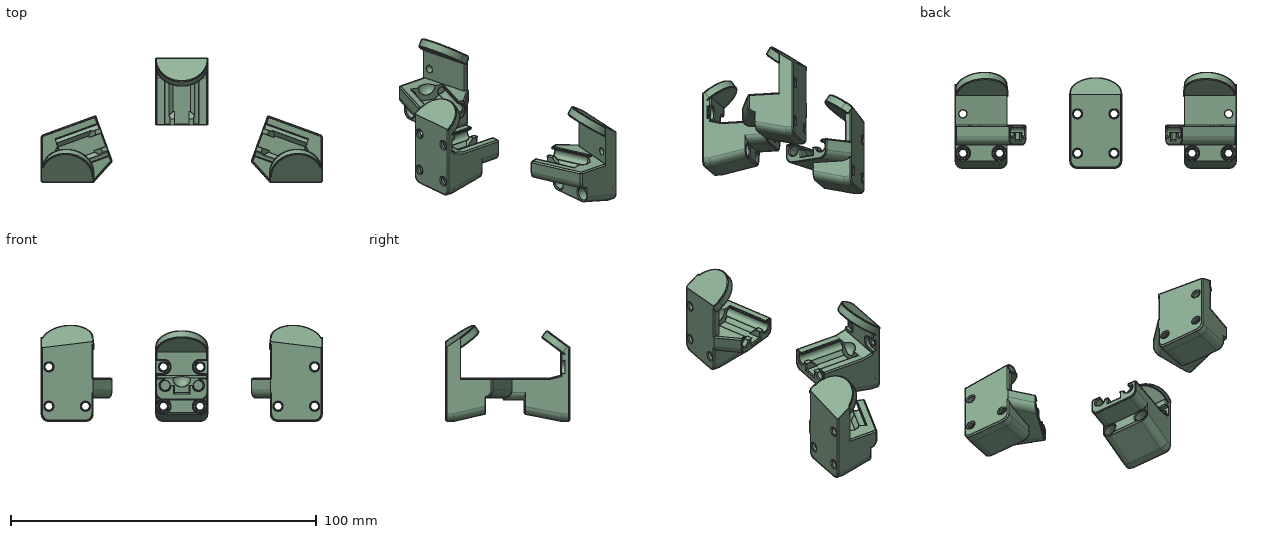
import cadquery as cq
import math

OVERALL_LENGTH = 92.0
OVERALL_DEPTH = 40.7
CLAMP_WIDTH = 17.0
HALF_WIDTH = CLAMP_WIDTH / 2
BOTTOM_RADIUS = 2.5
EDGE_CHAMFER = 0.5
ARM_END_CHAMFER = 0.3
ARM_TOP = 14.2
CLEARANCE = 0.9
MARGIN = 0.1

FOOT_FLAT = 2.8
FOOT_FRONT_HEIGHT = 2.4

SCREW_RADIUS = 1.3
SCREW_CHAMFER = 0.4
HEAD_RADIUS = 2.1
HEAD_CHAMFER = 0.4
HEAD_SEAT = 1.7
SCREW_OFFSET = 6.0
LOWER_SCREW_Z = 5.0
UPPER_SCREW_Z = 17.85

ROD_RADIUS = 1.61
ROD_OFFSET = 5.4
ROD_Z = 11.8
MOUTH_CHAMFER = 0.4
ROD_SOCKET_DEPTH = 1.8
SEAT_LENGTH = 15.1
SEAT_LIP_CHAMFER = 0.3
POCKET_FLOOR = 9.4
POCKET_FLOOR_HALF_WIDTH = 2.85
POCKET_SLOPE_OFFSET = 4.2
SNAP_HALF_GAP = 2.3
SNAP_LENGTH = 2.0
SNAP_RAMP_END = 4.4
SCOOP_RADIUS = 3.1
SCOOP_SETBACK = 1.1

LIP_THICKNESS = 2.9
LIP_CHAMFER = 0.3

BACK_ARM_REACH = 21.9
BACK_ARM_BOTTOM = 7.0
BACK_FOOT_DEPTH = 15.0
BACK_WALL = 3.0
BACK_WALL_TOP = 24.2
BACK_RAMP_DEPTH = 6.6
BACK_RAMP_TOP = 15.1
BACK_LIP_ANGLE = 36.6
BACK_LIP_STRAIGHT = 0.9

SIDE_ARM_BOTTOM = 7.7
SIDE_FOOT_DEPTH = 13.0
SIDE_OUTER_DEPTH = 15.4
SIDE_OUTER_WALL = 4.9
SIDE_INNER_WALL = 1.9
ARM_TURN = 20.0
ARM_END_X = -28.2
ARM_END_WIDTH = 15.9
ARM_AXIS_OFFSET = 8.3
CREASE_MIDDLE_Z = 25.1
SIDE_LIP_SLOPE = 0.69
SIDE_LIP_CROSS_SLOPE = 0.12
SIDE_LIP_STRAIGHT = 2.85


def box_between(x0, x1, y0, y1, z0, z1):
    return cq.Workplane("XY").box(x1 - x0, y1 - y0, z1 - z0, centered=False).translate((x0, y0, z0))


def rod_seat():
    """Cutter for two rods and the pocket between them; the arm end is at Y = 0 and the arm runs to +Y."""
    slope_top = ROD_Z - math.sqrt(ROD_RADIUS**2 - (ROD_OFFSET - POCKET_SLOPE_OFFSET) ** 2)
    opening = [
        (POCKET_FLOOR_HALF_WIDTH, POCKET_FLOOR),
        (POCKET_SLOPE_OFFSET, slope_top),
        (ROD_OFFSET, slope_top),
        (ROD_OFFSET, ARM_TOP - SEAT_LIP_CHAMFER),
        (ROD_OFFSET + SEAT_LIP_CHAMFER, ARM_TOP),
        (ROD_OFFSET + SEAT_LIP_CHAMFER, ARM_TOP + CLEARANCE),
    ]
    mirrored = [(-x, z) for x, z in reversed(opening)]
    cutter = cq.Workplane("XZ").polyline(opening + mirrored).close().extrude(-SEAT_LENGTH)

    nose_profile = [
        (0, POCKET_FLOOR), (SNAP_RAMP_END, POCKET_FLOOR), (SNAP_LENGTH, ROD_Z), (0, ROD_Z),
    ]
    nose_width = ROD_OFFSET - SNAP_HALF_GAP
    for start in (SNAP_HALF_GAP, -ROD_OFFSET):
        nose = cq.Workplane("YZ", origin=(start, 0, 0)).polyline(nose_profile).close().extrude(nose_width)
        cutter = cutter.cut(nose)

    for x in (-ROD_OFFSET, ROD_OFFSET):
        end = cq.Workplane("XZ", origin=(x, 0, ROD_Z))
        cutter = cutter.union(end.circle(ROD_RADIUS).extrude(-SEAT_LENGTH - ROD_SOCKET_DEPTH))
        cutter = cutter.union(end.circle(ROD_RADIUS + MOUTH_CHAMFER).extrude(-MOUTH_CHAMFER, taper=45))

    mouth_bottom = POCKET_FLOOR - MOUTH_CHAMFER
    mouth = (
        cq.Workplane("XZ", origin=(0, 0, (mouth_bottom + ROD_Z) / 2))
        .rect(2 * (SNAP_HALF_GAP + MOUTH_CHAMFER), ROD_Z - mouth_bottom)
        .extrude(-MOUTH_CHAMFER, taper=45)
    )
    scoop = cq.Workplane("XY").sphere(SCOOP_RADIUS).translate((0, SEAT_LENGTH - SCOOP_SETBACK, ARM_TOP))
    return cutter.union(mouth).union(scoop)


def screw_hole(x, z, length):
    """Cutter for a screw entering at Y = 0 and running to +Y, countersunk at its entry."""
    entry = cq.Workplane("XZ", origin=(x, 0, z))
    hole = entry.circle(SCREW_RADIUS).extrude(-length)
    return hole.union(entry.circle(SCREW_RADIUS + SCREW_CHAMFER).extrude(-SCREW_CHAMFER, taper=45))


def head_recess(x, z, mouth, slot_reach=0):
    """Cutter for a screw head seated at HEAD_SEAT; `slot_reach` stretches it sideways into an open slot."""
    def outline(y, radius):
        plane = cq.Workplane("XZ", origin=(x + slot_reach / 2, y, z))
        if slot_reach:
            return plane.slot2D(abs(slot_reach) + 2 * radius, 2 * radius)
        return plane.circle(radius)

    recess = outline(HEAD_SEAT, HEAD_RADIUS).extrude(HEAD_SEAT - mouth)
    countersink = cq.Workplane("XZ", origin=(x, HEAD_SEAT, z)).circle(SCREW_RADIUS + SCREW_CHAMFER)
    recess = recess.union(countersink.extrude(SCREW_CHAMFER, taper=45))
    return recess.union(outline(mouth, HEAD_RADIUS + HEAD_CHAMFER).extrude(HEAD_CHAMFER, taper=45))


def lip(plane, straight):
    """Half-round lip: X of the plane points from the crease to the tip, and its normal points outward."""
    return (
        cq.Workplane(plane)
        .moveTo(0, -HALF_WIDTH)
        .lineTo(straight, -HALF_WIDTH)
        .threePointArc((straight + HALF_WIDTH, 0), (straight, HALF_WIDTH))
        .lineTo(0, HALF_WIDTH)
        .close()
        .extrude(-LIP_THICKNESS)
        .edges("%CIRCLE")
        .chamfer(LIP_CHAMFER)
    )


def edges_within(y0, y1, z0, z1):
    """Selector for the edges whose middle lies in a range of depth and height, at any X."""
    return cq.selectors.BoxSelector(
        (-OVERALL_LENGTH, y0 - MARGIN, z0 - MARGIN), (OVERALL_LENGTH, y1 + MARGIN, z1 + MARGIN)
    )


def round_underside(body, depth, top):
    """Round the long lower edges of a body, up to the given depth and height."""
    low_edges = body.edges(edges_within(0, depth, 0, top)).edges("not |X").edges("not |Z")
    return low_edges.fillet(BOTTOM_RADIUS)


def back_clamp():
    """Clamp modelled with its back face at Y = 0 and its arm along +Y, then turned to face -Y."""
    angle = math.radians(BACK_LIP_ANGLE)
    wall_inner_top = BACK_WALL_TOP + BACK_WALL * math.tan(angle) - LIP_THICKNESS / math.cos(angle)
    profile = [
        (0, 0),
        (FOOT_FLAT, 0),
        (BACK_FOOT_DEPTH, FOOT_FRONT_HEIGHT),
        (BACK_FOOT_DEPTH, BACK_ARM_BOTTOM),
        (BACK_ARM_REACH, BACK_ARM_BOTTOM),
        (BACK_ARM_REACH, ARM_TOP),
        (BACK_RAMP_DEPTH, ARM_TOP),
        (BACK_WALL, BACK_RAMP_TOP),
        (BACK_WALL, wall_inner_top),
        (LIP_THICKNESS * math.sin(angle), BACK_WALL_TOP - LIP_THICKNESS * math.cos(angle)),
        (0, BACK_WALL_TOP),
    ]
    body = cq.Workplane("YZ", origin=(-HALF_WIDTH, 0, 0)).polyline(profile).close().extrude(CLAMP_WIDTH)
    body = round_underside(body, BACK_ARM_REACH, BACK_ARM_BOTTOM)
    body = body.faces("<Y").edges("not >Z").chamfer(EDGE_CHAMFER)
    inner_rim = edges_within(BACK_WALL, BACK_ARM_REACH, ARM_TOP, wall_inner_top)
    body = body.edges(inner_rim).edges("not |X").chamfer(EDGE_CHAMFER)
    body = body.faces(">Y").edges().chamfer(ARM_END_CHAMFER)
    foot_front = edges_within(BACK_FOOT_DEPTH, BACK_FOOT_DEPTH, 0, BACK_ARM_BOTTOM + BOTTOM_RADIUS)
    body = body.edges(foot_front).edges("|Z").chamfer(EDGE_CHAMFER)

    crease = cq.Plane(
        origin=(0, 0, BACK_WALL_TOP),
        xDir=(0, math.cos(angle), math.sin(angle)),
        normal=(0, -math.sin(angle), math.cos(angle)),
    )
    body = body.union(lip(crease, BACK_LIP_STRAIGHT))
    for side in (-1, 1):
        x = side * SCREW_OFFSET
        body = body.cut(screw_hole(x, LOWER_SCREW_Z, BACK_FOOT_DEPTH))
        body = body.cut(head_recess(x, LOWER_SCREW_Z, BACK_FOOT_DEPTH))
        body = body.cut(screw_hole(x, UPPER_SCREW_Z, BACK_WALL))
        body = body.cut(head_recess(x, UPPER_SCREW_Z, BACK_WALL, slot_reach=side * HALF_WIDTH))
    seat = rod_seat().rotate((0, 0, 0), (0, 0, 1), 180).translate((0, BACK_ARM_REACH, 0))
    body = body.cut(seat)
    return body.rotate((0, 0, 0), (0, 0, 1), 180).translate((0, OVERALL_DEPTH, 0))


def side_clamp(side):
    """Clamp with wall, foot, turned arm and lip, built on the -X side; `side` is -1 or 1."""
    outer_x = -OVERALL_LENGTH / 2
    inner_x = outer_x + CLAMP_WIDTH
    middle_x = outer_x + HALF_WIDTH
    turn = math.radians(ARM_TURN)
    arm_end_y = SIDE_OUTER_DEPTH + (ARM_END_X - outer_x) * math.tan(turn)

    def on_arm_end(distance):
        return (ARM_END_X + distance * math.sin(turn), arm_end_y - distance * math.cos(turn))

    foot_top = ARM_TOP - 2 * EDGE_CHAMFER
    foot_profile = [
        (0, 0),
        (FOOT_FLAT, 0),
        (SIDE_FOOT_DEPTH, FOOT_FRONT_HEIGHT),
        (SIDE_FOOT_DEPTH, foot_top),
        (0, foot_top),
    ]
    foot = cq.Workplane("YZ", origin=(outer_x, 0, 0)).polyline(foot_profile).close().extrude(CLAMP_WIDTH)
    foot = round_underside(foot, SIDE_FOOT_DEPTH, FOOT_FRONT_HEIGHT)

    crease = cq.Plane(
        origin=(middle_x, 0, CREASE_MIDDLE_Z),
        xDir=(0, 1, SIDE_LIP_SLOPE),
        normal=(-SIDE_LIP_CROSS_SLOPE, -SIDE_LIP_SLOPE, 1),
    )
    wall_plan = [(outer_x, 0), (inner_x, 0), (inner_x, SIDE_INNER_WALL), (outer_x, SIDE_OUTER_WALL)]
    wall_base = cq.Workplane("XY", origin=(0, 0, SIDE_ARM_BOTTOM))
    wall = wall_base.polyline(wall_plan).close().extrude(OVERALL_DEPTH)
    wall = wall.cut(cq.Workplane(crease).rect(OVERALL_LENGTH, OVERALL_LENGTH).extrude(OVERALL_LENGTH))
    body = foot.union(wall).clean()
    below_crease = edges_within(0, 0, 0, CREASE_MIDDLE_Z - CLAMP_WIDTH * SIDE_LIP_CROSS_SLOPE)
    body = body.faces("<Y").edges(below_crease).chamfer(EDGE_CHAMFER)

    tip = on_arm_end(ARM_END_WIDTH)
    arm_plan = [
        (outer_x, EDGE_CHAMFER),
        (inner_x - 2 * EDGE_CHAMFER, EDGE_CHAMFER),
        (inner_x - 2 * EDGE_CHAMFER, 0),
        (inner_x, 0),
        tip,
        (ARM_END_X, arm_end_y),
        (outer_x, SIDE_OUTER_DEPTH),
    ]
    arm = (
        cq.Workplane("XY", origin=(0, 0, SIDE_ARM_BOTTOM))
        .polyline(arm_plan).close().extrude(ARM_TOP - SIDE_ARM_BOTTOM)
    )
    diagonal = ((inner_x + tip[0]) / 2, tip[1] / 2, SIDE_ARM_BOTTOM)
    outer_edge = ((outer_x + ARM_END_X) / 2, (SIDE_OUTER_DEPTH + arm_end_y) / 2, SIDE_ARM_BOTTOM)
    for point in (diagonal, outer_edge):
        arm = arm.edges(cq.selectors.NearestToPointSelector(point)).fillet(BOTTOM_RADIUS)
    behind_wall = edges_within(2 * EDGE_CHAMFER, OVERALL_DEPTH, ARM_TOP, ARM_TOP)
    arm = arm.faces(">Z").edges(behind_wall).chamfer(EDGE_CHAMFER)
    arm_middle_z = (SIDE_ARM_BOTTOM + ARM_TOP) / 2
    end_middle = (*on_arm_end(ARM_END_WIDTH / 2), arm_middle_z)
    arm = arm.faces(cq.selectors.NearestToPointSelector(end_middle)).edges().chamfer(ARM_END_CHAMFER)
    outer_corner = (outer_x, SIDE_OUTER_DEPTH, arm_middle_z)
    arm = arm.edges("|Z").edges(cq.selectors.NearestToPointSelector(outer_corner)).chamfer(EDGE_CHAMFER)

    outer_side = box_between(outer_x, 0, 0, OVERALL_DEPTH, 0, OVERALL_DEPTH)
    body = body.union(arm).union(lip(crease, SIDE_LIP_STRAIGHT).intersect(outer_side))
    for x in (middle_x - SCREW_OFFSET, middle_x + SCREW_OFFSET):
        body = body.cut(screw_hole(x, LOWER_SCREW_Z, SIDE_FOOT_DEPTH))
        body = body.cut(head_recess(x, LOWER_SCREW_Z, SIDE_FOOT_DEPTH))
    body = body.cut(screw_hole(middle_x - SCREW_OFFSET, UPPER_SCREW_Z, SIDE_OUTER_WALL))
    arm_axis = on_arm_end(ARM_AXIS_OFFSET)
    seat = rod_seat().rotate((0, 0, 0), (0, 0, 1), 90 + ARM_TURN).translate((*arm_axis, 0))
    body = body.cut(seat)
    return body.mirror("YZ") if side > 0 else body


back = back_clamp()
side_clamps = [side_clamp(side) for side in (-1, 1)]
result = cq.Compound.makeCompound([back.val(), *[clamp.val() for clamp in side_clamps]])